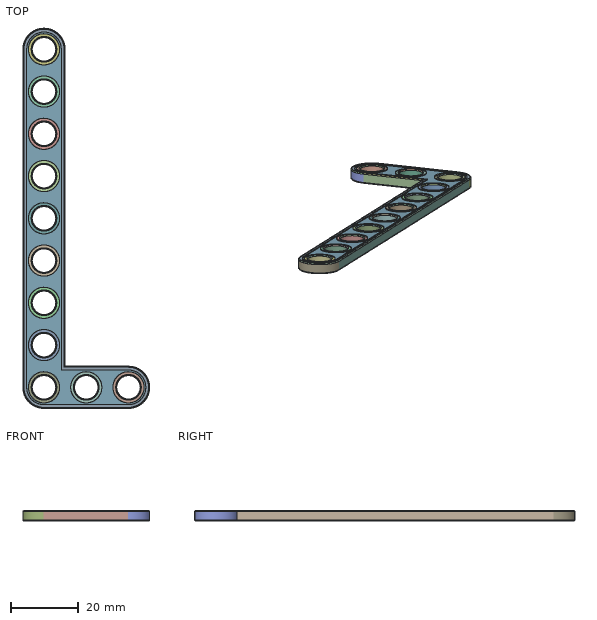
import cadquery as cq

total_length = 112.5
long_arm_holes = 9
short_arm_holes = 3
thickness = 3.2
hole_diameter = 7.0
rim_diameter = 9.2
border_width = 1.1
recess_depth = 0.2
edge_bevel = 0.3

pitch = total_length / long_arm_holes
arm_width = pitch
long_span = (long_arm_holes - 1) * pitch
short_span = (short_arm_holes - 1) * pitch

long_arm_centers = [(0, i * pitch) for i in range(long_arm_holes)]
short_arm_centers = [(i * pitch, 0) for i in range(1, short_arm_holes)]
hole_centers = long_arm_centers + short_arm_centers


def l_shape(width, height):
    """L of two round-ended arms that meet around the corner hole."""
    long_arm = (
        cq.Workplane("XY")
        .center(0, long_span / 2)
        .slot2D(long_span + width, width, angle=90)
        .extrude(height)
    )
    short_arm = (
        cq.Workplane("XY")
        .center(short_span / 2, 0)
        .slot2D(short_span + width, width)
        .extrude(height)
    )
    return long_arm.union(short_arm).clean()


def discs(diameter, height):
    """One disc on every hole centre."""
    return cq.Workplane("XY").pushPoints(hole_centers).circle(diameter / 2).extrude(height)


def bevelled_hole_cutter():
    """Half profile of a through hole with flared ends, turned about the Z axis."""
    radius = hole_diameter / 2
    flared_radius = radius + edge_bevel
    return (
        cq.Workplane("XZ")
        .moveTo(0, 0)
        .lineTo(flared_radius, 0)
        .lineTo(radius, edge_bevel)
        .lineTo(radius, thickness - edge_bevel)
        .lineTo(flared_radius, thickness)
        .lineTo(0, thickness)
        .close()
        .revolve(360, (0, 0), (0, 1))
    )


plate = l_shape(arm_width, thickness).faces("<Z or >Z").chamfer(edge_bevel)

recess = l_shape(arm_width - 2 * border_width, recess_depth).cut(discs(rim_diameter, recess_depth))
plate = plate.cut(recess.translate((0, 0, thickness - recess_depth)))

cutter = bevelled_hole_cutter()
for x, y in hole_centers:
    plate = plate.cut(cutter.translate((x, y, 0)))

result = plate